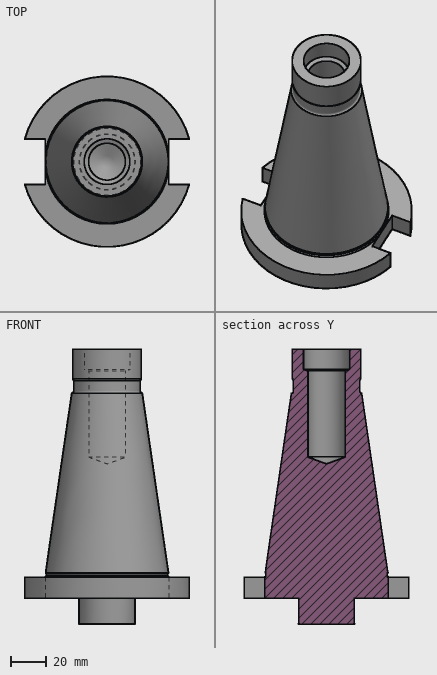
import cadquery as cq
import math


GAUGE_DIAMETER = 69.85
TAPER_RATIO = 7 / 24
TAPER_LENGTH = 101.2
TAPER_OVERRUN = 1.0

NECK_DIAMETER = 38.0
NECK_FILLET = 1.4
PILOT_DIAMETER = 39.24
PILOT_LENGTH = 16.9
SHANK_LENGTH = 126.4

BEVEL_ANGLE = 30.0

RELIEF_DIAMETER = 69.4
RELIEF_FILLET = 0.8
FLANGE_OFFSET = 3.6

FLANGE_DIAMETER = 97.3
FLANGE_THICKNESS = 12.0
SLOT_WIDTH = 25.8
SLOT_FLOOR_DISTANCE = 35.3

STUB_DIAMETER = 32.0
STUB_LENGTH = 14.8
STUB_CHAMFER = 0.3

COUNTERBORE_DIAMETER = 26.0
COUNTERBORE_DEPTH = 11.5
HOLE_DIAMETER = 21.0
HOLE_DEPTH = 61.5
DRILL_POINT_ANGLE = 140.0


def revolve_about_axis(outline):
    """Revolve a closed outline, drawn as (radius, height), about the Z axis."""
    return outline.close().revolve(360, (0, 0, 0), (0, 1, 0))


def taper_radius(height):
    return (GAUGE_DIAMETER - TAPER_RATIO * height) / 2


def bevel_height(outer_radius, inner_radius):
    return (outer_radius - inner_radius) / math.tan(math.radians(BEVEL_ANGLE))


def make_body():
    stub_radius = STUB_DIAMETER / 2
    flange_radius = FLANGE_DIAMETER / 2
    relief_radius = RELIEF_DIAMETER / 2
    taper_bottom_radius = taper_radius(-TAPER_OVERRUN)
    taper_top_radius = taper_radius(TAPER_LENGTH)
    neck_radius = NECK_DIAMETER / 2
    pilot_radius = PILOT_DIAMETER / 2

    flange_top = -FLANGE_OFFSET
    flange_bottom = flange_top - FLANGE_THICKNESS
    stub_bottom = flange_bottom - STUB_LENGTH
    relief_top = -TAPER_OVERRUN - bevel_height(taper_bottom_radius, relief_radius)
    pilot_bottom = SHANK_LENGTH - PILOT_LENGTH
    neck_top = pilot_bottom - bevel_height(pilot_radius, neck_radius)

    fillet_center_radius = neck_radius + NECK_FILLET
    fillet_rise = math.sqrt(NECK_FILLET**2 - (fillet_center_radius - taper_top_radius) ** 2)
    neck_bottom = TAPER_LENGTH + fillet_rise

    outline = (
        cq.Workplane("XZ")
        .moveTo(0, stub_bottom)
        .lineTo(stub_radius - STUB_CHAMFER, stub_bottom)
        .lineTo(stub_radius, stub_bottom + STUB_CHAMFER)
        .lineTo(stub_radius, flange_bottom)
        .lineTo(flange_radius, flange_bottom)
        .lineTo(flange_radius, flange_top)
        .lineTo(relief_radius + RELIEF_FILLET, flange_top)
        .radiusArc((relief_radius, flange_top + RELIEF_FILLET), RELIEF_FILLET)
        .lineTo(relief_radius, relief_top)
        .lineTo(taper_bottom_radius, -TAPER_OVERRUN)
        .lineTo(taper_top_radius, TAPER_LENGTH)
        .radiusArc((neck_radius, neck_bottom), NECK_FILLET)
        .lineTo(neck_radius, neck_top)
        .lineTo(pilot_radius, pilot_bottom)
        .lineTo(pilot_radius, SHANK_LENGTH)
        .lineTo(0, SHANK_LENGTH)
    )
    return revolve_about_axis(outline)


def make_draw_bar_hole():
    """Counterbore and blind hole, both ending in a drill-point cone."""
    counterbore_radius = COUNTERBORE_DIAMETER / 2
    hole_radius = HOLE_DIAMETER / 2
    cone_slope = 1 / math.tan(math.radians(DRILL_POINT_ANGLE / 2))
    counterbore_bottom = SHANK_LENGTH - COUNTERBORE_DEPTH
    hole_bottom = SHANK_LENGTH - HOLE_DEPTH
    outline = cq.Workplane("XZ").polyline([
        (0, SHANK_LENGTH),
        (counterbore_radius, SHANK_LENGTH),
        (counterbore_radius, counterbore_bottom),
        (hole_radius, counterbore_bottom - (counterbore_radius - hole_radius) * cone_slope),
        (hole_radius, hole_bottom),
        (0, hole_bottom - hole_radius * cone_slope),
    ])
    return revolve_about_axis(outline)


def make_drive_slot(side):
    """Cutter for the drive slot on the +X (side = 1) or -X (side = -1) edge."""
    slot_length = FLANGE_DIAMETER / 2
    slot_height = FLANGE_OFFSET + FLANGE_THICKNESS
    center_x = side * (SLOT_FLOOR_DISTANCE + slot_length / 2)
    slot = cq.Workplane("XY").box(slot_length, SLOT_WIDTH, slot_height)
    return slot.translate((center_x, 0, -slot_height / 2))


result = make_body().cut(make_draw_bar_hole())
for slot_side in (-1, 1):
    result = result.cut(make_drive_slot(slot_side))